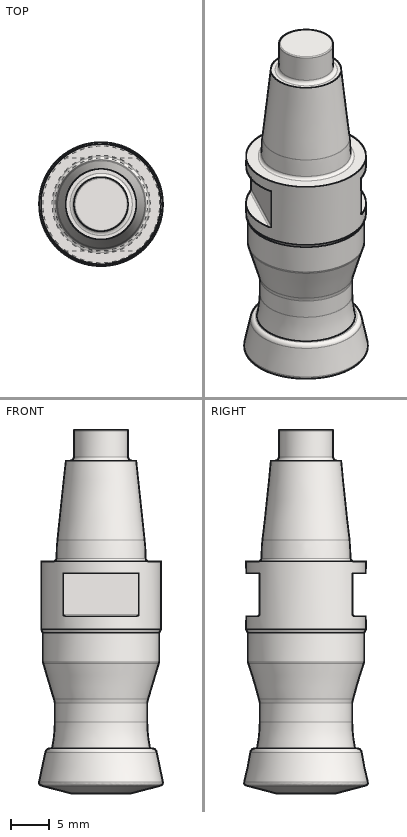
import cadquery as cq
import math

total_height = 47.0
rim_z = 1.15
foot_top_z = 5.88
waist_bottom_z = 9.3
waist_top_z = 11.75
funnel_bottom_z = 12.25
funnel_top_z = 16.83
barrel_bottom_z = 17.05
joint_z = 20.77
collar_top_z = 30.0
taper_bottom_z = 30.4
taper_bend_z = 32.8
taper_top_z = 43.0

pin_radius = 7.0 / 2
taper_top_radius = 4.55
taper_bend_radius = 5.65
taper_bottom_radius = 5.8
collar_radius = 15.5 / 2
barrel_radius = 15.1 / 2
waist_radius = 12.0 / 2
funnel_bottom_radius = 6.1
funnel_top_radius = 7.45
neck_bottom_radius = 6.35
foot_top_radius = 7.1
rim_radius = 8.1
sole_radius = 3.75

pin_tip_fillet = 0.15
pin_root_fillet = 0.5
collar_root_fillet = taper_bottom_z - collar_top_z
collar_chamfer_height = 0.45
foot_top_fillet = 0.65
rim_fillet = 0.4

flat_bottom_z = 22.95
flat_height = 5.5
across_flats = 12.05
flat_root_fillet = 0.25


def corner_arc_point(center_x, center_z, radius):
    """Middle of the lower-left quarter of a circle, used for concave root fillets."""
    offset = radius * math.sqrt(0.5)
    return center_x - offset, center_z - offset


def revolve_about_z(profile):
    return profile.close().revolve(360, (0, 0, 0), (0, 1, 0))


def round_outer_edge(body, edge_z, fillet_radius):
    """Fillet the largest circular edge lying at the given height."""
    reach = 2 * collar_radius
    margin = 0.05
    slab = cq.selectors.BoxSelector(
        (-reach, -reach, edge_z - margin), (reach, reach, edge_z + margin), boundingbox=True
    )
    outer_edge = body.edges(slab).edges(cq.selectors.RadiusNthSelector(-1))
    return outer_edge.fillet(fillet_radius)


def wrench_flat_cutter(side):
    """Slot on one side (+1 or -1 along Y), rounded along its lower inner edge."""
    cutter = (
        cq.Workplane("XY")
        .box(2 * collar_radius, collar_radius, flat_height, centered=(True, False, False))
        .translate((0, across_flats / 2, flat_bottom_z))
        .edges("<Y and <Z")
        .fillet(flat_root_fillet)
    )
    return cutter if side > 0 else cutter.mirror("XZ")


def make_holder():
    """Pin, tapered shank and collar with two wrench flats."""
    pin_root_center = (pin_radius + pin_root_fillet, taper_top_z + pin_root_fillet)
    collar_root_center = (taper_bottom_radius + collar_root_fillet, taper_bottom_z)

    bend_rise = taper_bend_z - taper_bottom_z
    bend_run = taper_bottom_radius - taper_bend_radius
    bend_radius = (bend_rise**2 + bend_run**2) / (2 * bend_run)
    bend_mid_z = taper_bottom_z + bend_rise / 2
    bend_mid_radius = taper_bottom_radius - (bend_radius - math.sqrt(bend_radius**2 - (bend_rise / 2) ** 2))

    profile = (
        cq.Workplane("XZ")
        .moveTo(0, joint_z)
        .lineTo(barrel_radius, joint_z)
        .lineTo(collar_radius, joint_z + collar_chamfer_height)
        .lineTo(collar_radius, collar_top_z)
        .lineTo(collar_root_center[0], collar_top_z)
        .threePointArc(
            corner_arc_point(*collar_root_center, collar_root_fillet),
            (taper_bottom_radius, taper_bottom_z),
        )
        .threePointArc((bend_mid_radius, bend_mid_z), (taper_bend_radius, taper_bend_z))
        .lineTo(taper_top_radius, taper_top_z)
        .lineTo(pin_root_center[0], taper_top_z)
        .threePointArc(
            corner_arc_point(*pin_root_center, pin_root_fillet),
            (pin_radius, pin_root_center[1]),
        )
        .lineTo(pin_radius, total_height)
        .lineTo(0, total_height)
    )
    holder = revolve_about_z(profile).faces(">Z").edges().fillet(pin_tip_fillet)
    for side in (1, -1):
        holder = holder.cut(wrench_flat_cutter(side))
    return holder


def make_foot():
    """Barrel, funnel, waist and flared foot with a shallow conical sole."""
    neck_rise = waist_bottom_z - foot_top_z
    neck_run = neck_bottom_radius - waist_radius
    neck_curve = (neck_rise**2 + neck_run**2) / (2 * neck_run)
    neck_mid_z = waist_bottom_z - neck_rise / 2
    neck_mid_radius = waist_radius + neck_curve - math.sqrt(neck_curve**2 - (neck_rise / 2) ** 2)

    profile = (
        cq.Workplane("XZ")
        .lineTo(sole_radius, 0)
        .lineTo(rim_radius, rim_z)
        .lineTo(foot_top_radius, foot_top_z)
        .lineTo(neck_bottom_radius, foot_top_z)
        .threePointArc((neck_mid_radius, neck_mid_z), (waist_radius, waist_bottom_z))
        .lineTo(waist_radius, waist_top_z)
        .lineTo(funnel_bottom_radius, funnel_bottom_z)
        .lineTo(funnel_top_radius, funnel_top_z)
        .lineTo(barrel_radius, barrel_bottom_z)
        .lineTo(barrel_radius, joint_z)
        .lineTo(0, joint_z)
    )
    foot = revolve_about_z(profile)
    foot = round_outer_edge(foot, rim_z, rim_fillet)
    return round_outer_edge(foot, foot_top_z, foot_top_fillet)


holder = make_holder()
foot = make_foot()

result = cq.Compound.makeCompound([holder.val(), foot.val()])